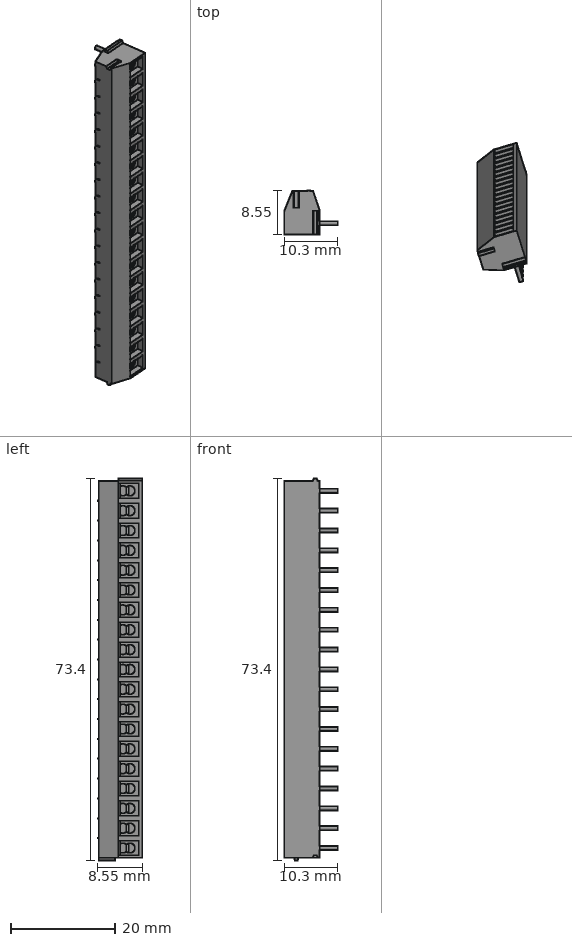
import cadquery as cq

POLES = 19
PITCH = 3.81

BODY_WIDTH = 6.8
BODY_DEPTH = 8.4
BODY_LENGTH = POLES * PITCH
WIRE_SHOULDER_Y = 4.6
PIN_SHOULDER_Y = 4.75
RIDGE_LEFT_X = 1.55
RIDGE_RIGHT_X = 5.55

PIN_DIAMETER = 0.85
PIN_LENGTH = 3.5
PIN_Y = 2.2

POCKET_HEIGHT = 2.85
POCKET_DEPTH = 1.3
POCKET_LOW_Y = 0.7
POCKET_MOUTH_Y = WIRE_SHOULDER_Y
POCKET_FLOOR_Y = 4.25

HOLE_DIAMETER = 1.9
WIRE_HOLE_Y = 2.38
RELEASE_HOLE_Y = 3.75
RAMP_HIGH_Y = (WIRE_HOLE_Y + RELEASE_HOLE_Y) / 2
RAMP_LOW_Y = 2.65
RELEASE_HOLE_DEPTH = 0.2
RAMP_DROP = 0.2

KEY_X = 5.95
KEY_BASE_WIDTH = 1.0
KEY_TIP_WIDTH = 0.6
KEY_HEIGHT = 0.5
KEY_LENGTH = WIRE_SHOULDER_Y
TONGUE_X = 2.3
TONGUE_LENGTH = 3.2
TONGUE_HEIGHT = 0.5
TONGUE_BASE_WIDTH = 0.9
TONGUE_TIP_WIDTH = 0.55
GROOVE_MOUTH_WIDTH = 1.1
GROOVE_FLOOR_WIDTH = 0.7
GROOVE_LENGTH = 3.25

NUB_X = 4.7
NUB_WIDTH = 0.5
NUB_THICKNESS = 0.1
NUB_HEIGHT = 0.15


def make_housing():
    outline = [
        (0, 0),
        (BODY_WIDTH, 0),
        (BODY_WIDTH, PIN_SHOULDER_Y),
        (RIDGE_RIGHT_X, BODY_DEPTH),
        (RIDGE_LEFT_X, BODY_DEPTH),
        (0, WIRE_SHOULDER_Y),
    ]
    return cq.Workplane("XY").polyline(outline).close().extrude(BODY_LENGTH)


def make_bar(center_x, y_start, y_end, z_base, width_base, z_tip, width_tip):
    """Straight bar along Y with a trapezoidal XZ section."""
    section = [
        (center_x - width_base / 2, z_base),
        (center_x + width_base / 2, z_base),
        (center_x + width_tip / 2, z_tip),
        (center_x - width_tip / 2, z_tip),
    ]
    plane = cq.Workplane("XZ", origin=(0, y_start, 0))
    return plane.polyline(section).close().extrude(y_start - y_end)


def make_key(z_base):
    return make_bar(
        KEY_X, 0, KEY_LENGTH, z_base, KEY_BASE_WIDTH, z_base + KEY_HEIGHT, KEY_TIP_WIDTH
    )


def make_tongue():
    return make_bar(
        TONGUE_X,
        BODY_DEPTH - TONGUE_LENGTH,
        BODY_DEPTH,
        0,
        TONGUE_BASE_WIDTH,
        -TONGUE_HEIGHT,
        TONGUE_TIP_WIDTH,
    )


def make_groove():
    return make_bar(
        TONGUE_X,
        BODY_DEPTH - GROOVE_LENGTH,
        BODY_DEPTH,
        BODY_LENGTH,
        GROOVE_MOUTH_WIDTH,
        BODY_LENGTH - TONGUE_HEIGHT,
        GROOVE_FLOOR_WIDTH,
    )


def extrude_across_pole(outline, z_center):
    """Extrude an XY outline over the pocket height, centred on a pole."""
    plane = cq.Workplane("XY", origin=(0, 0, z_center))
    return plane.polyline(outline).close().extrude(POCKET_HEIGHT / 2, both=True)


def make_hole(y_center, z_center, depth):
    """Round hole along X, starting at the outer face."""
    plane = cq.Workplane("YZ", origin=(0, y_center, z_center))
    return plane.circle(HOLE_DIAMETER / 2).extrude(depth)


def make_pole_cavity(z_center):
    pocket = extrude_across_pole(
        [
            (0, POCKET_LOW_Y),
            (0, POCKET_MOUTH_Y),
            (POCKET_DEPTH, POCKET_FLOOR_Y),
            (POCKET_DEPTH, POCKET_LOW_Y),
        ],
        z_center,
    )
    release_floor_x = POCKET_DEPTH + RELEASE_HOLE_DEPTH
    wire_floor_x = release_floor_x + RAMP_DROP

    release_zone = extrude_across_pole(
        [
            (0, POCKET_LOW_Y),
            (0, POCKET_FLOOR_Y),
            (release_floor_x, POCKET_FLOOR_Y),
            (release_floor_x, POCKET_LOW_Y),
        ],
        z_center,
    )
    release_hole = make_hole(RELEASE_HOLE_Y, z_center, release_floor_x).intersect(release_zone)

    ramp = extrude_across_pole(
        [
            (release_floor_x, RAMP_HIGH_Y),
            (wire_floor_x, RAMP_LOW_Y),
            (wire_floor_x, RELEASE_HOLE_Y),
            (release_floor_x, RELEASE_HOLE_Y),
        ],
        z_center,
    )
    wire_hole = make_hole(WIRE_HOLE_Y, z_center, wire_floor_x).cut(ramp)
    return pocket.union(release_hole).union(wire_hole)


def make_pin(z_center):
    root = PIN_DIAMETER / 2
    plane = cq.Workplane("YZ", origin=(BODY_WIDTH - root, PIN_Y, z_center))
    return plane.circle(PIN_DIAMETER / 2).extrude(root + PIN_LENGTH)


def make_nub(z_center):
    nub = cq.Workplane("XY").box(NUB_WIDTH, 2 * NUB_HEIGHT, NUB_THICKNESS)
    return nub.translate((NUB_X, BODY_DEPTH, z_center))


result = make_housing()
result = result.union(make_key(BODY_LENGTH)).cut(make_key(0))
result = result.union(make_tongue()).cut(make_groove())

for pole in range(POLES):
    pole_z = (pole + 0.5) * PITCH
    result = result.cut(make_pole_cavity(pole_z)).union(make_pin(pole_z))

for joint in range(1, POLES):
    result = result.union(make_nub(joint * PITCH))